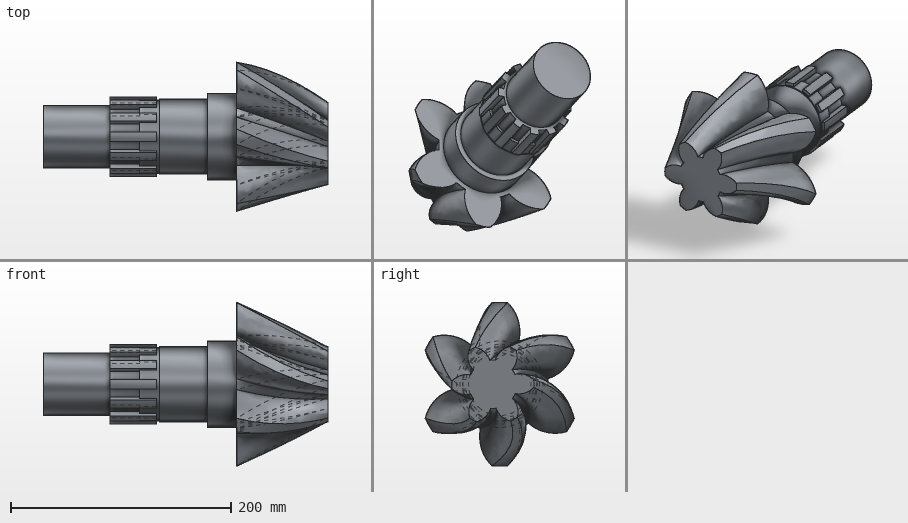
import cadquery as cq
import math

total_length = 258.5
spline_start = 60.2
slot_step = 87.5
spline_end = 102.6
journal_start = 105.5
collar_start = 149.0
gear_start = 175.5

end_radius = 28.5
slot_floor_radius = 31.0
neck_radius = 33.4
journal_radius = 34.0
collar_radius = 39.3

spline_count = 12
spline_width = 8.3
spline_radius = 36.2

tooth_count = 6
tip_radius = 74.5
tip_half_width = 7.0
flank_half_width = 18.4
flank_widest_height = 47.8
root_radius = 44.0
root_half_width = 17.5
small_end_scale = 0.5
twist_angle = 31.0
small_end_offset = -6.2


def disc(radius, start, end):
    """Solid cylinder on the X axis between two stations."""
    return cq.Workplane("YZ", origin=(start, 0, 0)).circle(radius).extrude(end - start)


def stepped_shaft():
    steps = [
        (end_radius, 0, spline_start),
        (slot_floor_radius, spline_start, slot_step),
        (neck_radius, slot_step, journal_start),
        (journal_radius, journal_start, collar_start),
        (collar_radius, collar_start, gear_start),
    ]
    shaft = disc(*steps[0])
    for step in steps[1:]:
        shaft = shaft.union(disc(*step))
    return shaft


def splines():
    bar_length = 3 * spline_radius
    bars = disc(slot_floor_radius, spline_start, spline_end)
    for i in range(spline_count // 2):
        bar = (
            cq.Workplane("YZ", origin=(spline_start, 0, 0))
            .rect(spline_width, bar_length)
            .extrude(spline_end - spline_start)
            .rotate((0, 0, 0), (1, 0, 0), i * 360 / spline_count)
        )
        bars = bars.union(bar)
    return bars.intersect(disc(spline_radius, spline_start, spline_end))


def gear_section(fraction, offset):
    """Closed pinion outline at a fraction of the way from the large to the small face, shifted along Y."""
    scale = 1 + (small_end_scale - 1) * fraction
    twist = math.radians(twist_angle * fraction)
    pitch = 2 * math.pi / tooth_count
    tip_height = math.sqrt(tip_radius**2 - tip_half_width**2)
    root_height = math.sqrt(root_radius**2 - root_half_width**2)

    right_root = (root_half_width, root_height)
    right_flank = (flank_half_width, flank_widest_height)
    right_tip = (tip_half_width, tip_height)
    tip_middle = (0, tip_radius)
    left_tip = (-tip_half_width, tip_height)
    left_flank = (-flank_half_width, flank_widest_height)
    left_root = (-root_half_width, root_height)
    root_middle = (-root_radius * math.sin(pitch / 2), root_radius * math.cos(pitch / 2))

    def place(point, tooth):
        turn = twist + tooth * pitch
        across, out = point
        y = scale * (across * math.cos(turn) - out * math.sin(turn))
        z = scale * (across * math.sin(turn) + out * math.cos(turn))
        return y + offset, z

    station = gear_start + fraction * (total_length - gear_start)
    outline = cq.Workplane("YZ", origin=(station, 0, 0))
    outline = outline.moveTo(*place(right_root, 0))
    for i in range(tooth_count):
        outline = (
            outline
            .threePointArc(place(right_flank, i), place(right_tip, i))
            .threePointArc(place(tip_middle, i), place(left_tip, i))
            .threePointArc(place(left_flank, i), place(left_root, i))
            .threePointArc(place(root_middle, i), place(right_root, i + 1))
        )
    return outline.close().val()


def pinion():
    sections = [
        gear_section(0, 0),
        gear_section(0.5, 0),
        gear_section(1, small_end_offset),
    ]
    return cq.Workplane(cq.Solid.makeLoft(sections))


result = stepped_shaft().union(splines()).union(pinion())